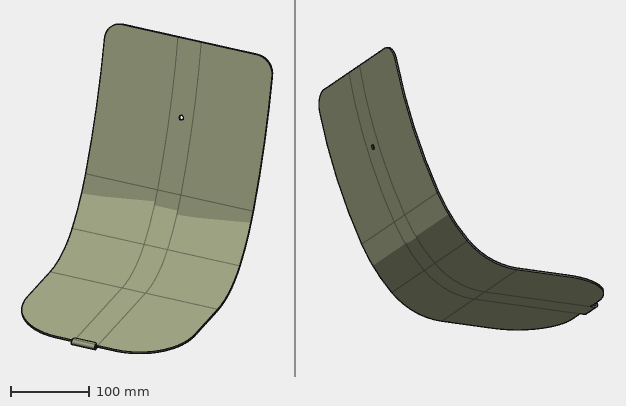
import cadquery as cq
import math

width = 235.0
length = 334.0
height = 281.5

thickness = 2.5
bend_radii = (97.2, 224.0, 742.0)
bend_ends = (45.3, 63.9)
front_corner_radius = 77.0
back_corner_radius = 23.5

strip_width = 32.7
seat_setback = 10.0
hook_height = 7.5
hook_reach = 8.5
lip_corner_radius = 3.5

hole_diameter = 6.0
hole_height = 179.8


def find_bend_arcs():
    """Return (centre Y, centre Z, middle radius, start slope, end slope) of each bend.

    Y is measured from the end of the flat seat and slopes are in radians.
    """
    arcs = []
    centre_y, centre_z = 0.0, thickness / 2
    start, last_radius = 0.0, 0.0
    for index, radius in enumerate(bend_radii):
        centre_y -= (radius - last_radius) * math.sin(start)
        centre_z += (radius - last_radius) * math.cos(start)
        if index < len(bend_ends):
            end = math.radians(bend_ends[index])
        else:
            end = math.acos((centre_z - height) / (radius - thickness / 2))
        arcs.append((centre_y, centre_z, radius, start, end))
        start, last_radius = end, radius
    return arcs


bend_arcs = find_bend_arcs()


def bend_point(arc, slope, offset):
    """Point at a slope on a bend, offset outward from the middle of the sheet."""
    centre_y, centre_z, radius = arc[:3]
    reach = radius + offset
    return (seat_end + centre_y + reach * math.sin(slope), centre_z - reach * math.cos(slope))


last_centre_y, _, last_radius, _, last_slope = bend_arcs[-1]
seat_end = length - last_centre_y - (last_radius + thickness / 2) * math.sin(last_slope)


def bent_sheet(sheet_width, front_y):
    """Extrude the side profile of the sheet, centred on X = 0."""
    half = thickness / 2
    profile = cq.Workplane("YZ").moveTo(front_y, 0).lineTo(seat_end, 0)
    for arc in bend_arcs:
        start, end = arc[3:]
        profile = profile.threePointArc(
            bend_point(arc, (start + end) / 2, half), bend_point(arc, end, half)
        )
    profile = profile.lineTo(*bend_point(bend_arcs[-1], last_slope, -half))
    for arc in reversed(bend_arcs):
        start, end = arc[3:]
        profile = profile.threePointArc(
            bend_point(arc, (start + end) / 2, -half), bend_point(arc, start, -half)
        )
    profile = profile.lineTo(front_y, thickness).close()
    return profile.extrude(sheet_width / 2, both=True)


def make_shell():
    """Wide sheet with rounded corners on the seat and the back."""
    shell = bent_sheet(width, seat_setback)
    shell = shell.faces("<Y").edges("|Z").fillet(front_corner_radius)
    end_corners = shell.faces(">Z").edges("not |X")
    return end_corners.fillet(back_corner_radius)


def make_hook():
    """Strip end folded up and back over itself."""
    outer = hook_height / 2
    inner = outer - thickness
    hook = (
        cq.Workplane("YZ")
        .moveTo(seat_setback, 0)
        .lineTo(outer, 0)
        .threePointArc((0, outer), (outer, hook_height))
        .lineTo(hook_reach, hook_height)
        .lineTo(hook_reach, hook_height - thickness)
        .lineTo(outer, hook_height - thickness)
        .threePointArc((outer - inner, outer), (outer, thickness))
        .lineTo(seat_setback, thickness)
        .close()
        .extrude(strip_width / 2, both=True)
    )
    lip_box = cq.selectors.BoxSelector(
        (-strip_width, hook_reach - thickness / 2, thickness * 1.5),
        (strip_width, hook_reach + thickness / 2, hook_height + thickness),
    )
    return hook.edges("|Z").edges(lip_box).fillet(lip_corner_radius)


def make_hole():
    """Drill square to the back through the middle of the strip."""
    arc = bend_arcs[-1]
    centre_z, radius = arc[1:3]
    slope = math.acos((centre_z - hole_height) / radius)
    y, z = bend_point(arc, slope, thickness)
    drill_axis = cq.Vector(0, -math.sin(slope), math.cos(slope))
    start = cq.Vector(0, y, z)
    drill = cq.Solid.makeCylinder(hole_diameter / 2, 2 * thickness, start, drill_axis)
    return cq.Workplane(drill)


shell = make_shell()
strip = bent_sheet(strip_width, seat_setback)
hooked_strip = strip.union(make_hook())
body = shell.cut(strip).union(hooked_strip, clean=False)
result = body.cut(make_hole(), clean=False)